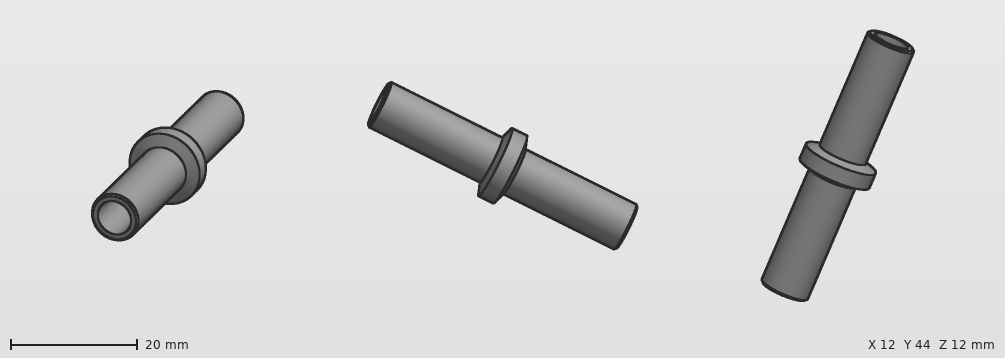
import cadquery as cq

length = 44.0
tube_diameter = 7.95
bore_diameter = 5.7
end_chamfer = 0.3

collar_diameter = 12.0
collar_width = 4.1
rim_width = 2.6


def make_tube():
    """Solid round bar with both outer end edges chamfered."""
    bar = cq.Workplane("XZ").circle(tube_diameter / 2).extrude(length / 2, both=True)
    return bar.faces("<Y or >Y").chamfer(end_chamfer)


def make_collar():
    """Collar revolved about Y, tapering from the rim down to the tube surface."""
    tube_radius = tube_diameter / 2
    collar_radius = collar_diameter / 2
    profile = (
        cq.Workplane("XY")
        .moveTo(0, -collar_width / 2)
        .lineTo(tube_radius, -collar_width / 2)
        .lineTo(collar_radius, -rim_width / 2)
        .lineTo(collar_radius, rim_width / 2)
        .lineTo(tube_radius, collar_width / 2)
        .lineTo(0, collar_width / 2)
        .close()
    )
    return profile.revolve(360, (0, 0, 0), (0, 1, 0))


def make_bore():
    """Through bore along the full length."""
    return cq.Workplane("XZ").circle(bore_diameter / 2).extrude(length / 2, both=True)


result = make_tube().union(make_collar()).cut(make_bore())